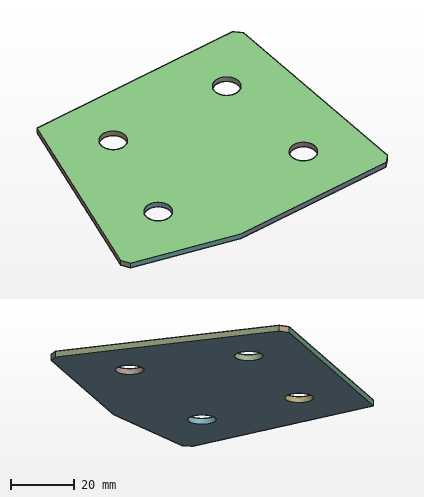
import cadquery as cq
import math

width = 80.0
length = 98.0
thickness = 2.0
left_side = 80.0
right_side = 60.0
tilt = math.radians(15)
top_chamfer = 2.45

hole_diameter = 9.0
hole_inset = 20.0
lower_hole_spacing = 37.4

along = cq.Vector(math.cos(tilt), -math.sin(tilt))
inward = cq.Vector(math.sin(tilt), math.cos(tilt))

top_left = cq.Vector(0, length)
top_right = cq.Vector(width, length)
bottom_left = cq.Vector(0, length - left_side)
right_bend = cq.Vector(width, length - right_side)

bottom_edge = (right_bend - bottom_left).dot(along)
sharp_corner = bottom_left + along * bottom_edge
corner_chamfer = bottom_edge - bottom_left.y / math.sin(tilt)

outline = [
    bottom_left,
    sharp_corner - along * corner_chamfer,
    sharp_corner + inward * corner_chamfer,
    right_bend,
    top_right - cq.Vector(0, top_chamfer),
    top_right - cq.Vector(top_chamfer, 0),
    top_left + cq.Vector(top_chamfer, 0),
    top_left - cq.Vector(0, top_chamfer),
]
plate = cq.Workplane("XY").polyline([(p.x, p.y) for p in outline]).close().extrude(thickness)

lower_right_hole = sharp_corner + (inward - along) * hole_inset
hole_centres = [
    top_left + cq.Vector(hole_inset, -hole_inset),
    top_right - cq.Vector(hole_inset, hole_inset),
    lower_right_hole,
    lower_right_hole - along * lower_hole_spacing,
]
holes = (
    cq.Workplane("XY")
    .pushPoints([(p.x, p.y) for p in hole_centres])
    .circle(hole_diameter / 2)
    .extrude(thickness)
)

result = plate.cut(holes)